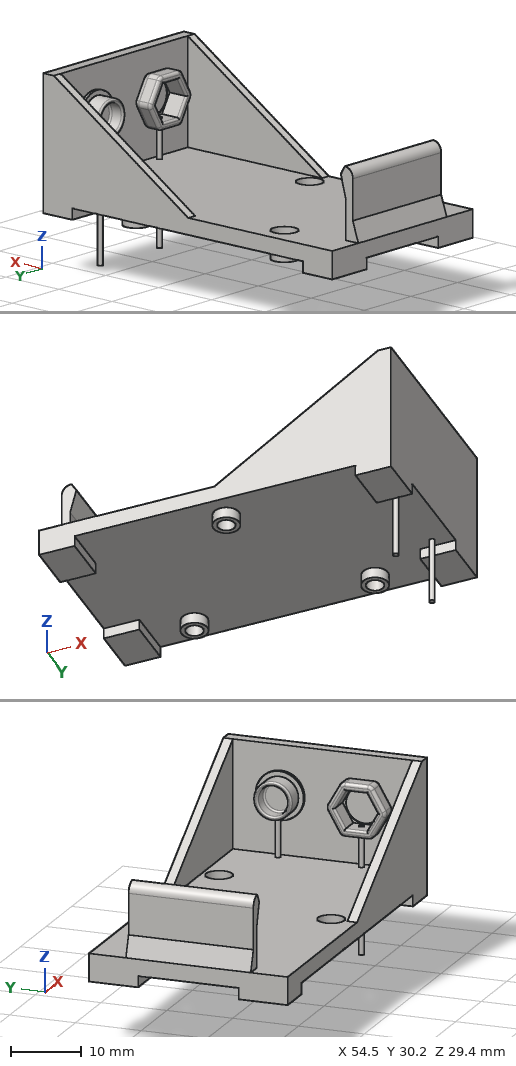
import cadquery as cq
import math


LENGTH = 54.5
WIDTH = 30.2
PLATE_THICKNESS = 2.5

FOOT_LENGTH = 5.5
FOOT_WIDTH = 7.45
FOOT_HEIGHT = 1.7

SCREW_POINTS = [(12.55, 26.15), (27.25, 4.0), (40.5, 26.15)]
SCREW_HOLE_DIAMETER = 2.6
BOSS_DIAMETER = 4.0
COUNTERBORE_DEPTH = 1.5

WALL_HEIGHT = 16.35
WALL_THICKNESS = 2.0
GUSSET_THICKNESS = 1.45
GUSSET_START = 27.15
WALL_FACE = LENGTH - WALL_THICKNESS

CLIP_Y = 5.6
CLIP_WIDTH = 18.95
CLIP_OUTER_X = 1.05
CLIP_INNER_X = 2.35
CLIP_TAPER_HEIGHT = 3.1
CLIP_BARB_START = 6.0
CLIP_BARB_TIP = (3.3, 9.6)
CLIP_ROUND_RADIUS = 1.5
CLIP_ROUND_START = 9.3

TERMINAL_HEIGHT = 3.25
TERMINAL_SPACING = 12.7
TERMINAL_Z = 8.9
HEX_Y = (WIDTH - TERMINAL_SPACING) / 2
ROUND_Y = (WIDTH + TERMINAL_SPACING) / 2

FLANGE_DIAMETER = 7.3
FLANGE_THICKNESS = 0.5
ROUND_DIAMETER = 5.8
ROUND_BORE_DIAMETER = 4.5
ROUND_RIM_FILLET = 0.25
ROUND_FLOOR_FILLET = 0.25
ROUND_FLOOR_THICKNESS = 1.0

HEX_ACROSS_FLATS = 8.0
HEX_BORE_ACROSS_FLATS = 5.65
HEX_CORNER_FILLET = 1.0
HEX_BACK_FILLET = 1.1
HEX_RIM_FILLET = 0.5
HEX_BORE_RIM_FILLET = 0.3
HEX_FLOOR_THICKNESS = 0.1
HEX_FLOOR_HOLE_DIAMETER = 5.5

PIN_DIAMETER = 0.8
PIN_X = 51.4
PIN_TOP = TERMINAL_Z - HEX_BORE_ACROSS_FLATS / 2
PIN_BELOW_FEET = 8.85
PIN_BOTTOM = -PLATE_THICKNESS - FOOT_HEIGHT - PIN_BELOW_FEET


def block(x, y, z, length, width, height):
    return cq.Workplane("XY").box(length, width, height, centered=False).translate((x, y, z))


def upright_cylinder(diameter, x, y, bottom, top):
    return cq.Workplane("XY", origin=(x, y, bottom)).circle(diameter / 2).extrude(top - bottom)


def make_clip():
    round_center_x = CLIP_OUTER_X + CLIP_ROUND_RADIUS
    half_way = CLIP_ROUND_RADIUS * math.sqrt(0.5)
    profile = (
        cq.Workplane("XZ", origin=(0, CLIP_Y + CLIP_WIDTH, 0))
        .moveTo(0, 0)
        .lineTo(CLIP_OUTER_X, CLIP_TAPER_HEIGHT)
        .lineTo(CLIP_OUTER_X, CLIP_ROUND_START)
        .threePointArc(
            (round_center_x - half_way, CLIP_ROUND_START + half_way),
            (round_center_x, CLIP_ROUND_START + CLIP_ROUND_RADIUS),
        )
        .lineTo(*CLIP_BARB_TIP)
        .lineTo(CLIP_INNER_X, CLIP_BARB_START)
        .lineTo(CLIP_INNER_X, 0)
        .close()
    )
    return profile.extrude(CLIP_WIDTH)


def make_gusset(y):
    profile = cq.Workplane("XZ", origin=(0, y + GUSSET_THICKNESS, 0)).polyline(
        [(GUSSET_START, 0), (WALL_FACE, 0), (WALL_FACE, WALL_HEIGHT)]
    )
    return profile.close().extrude(GUSSET_THICKNESS)


def make_base():
    foot_z = -PLATE_THICKNESS - FOOT_HEIGHT
    base = block(0, 0, -PLATE_THICKNESS, LENGTH, WIDTH, PLATE_THICKNESS)
    base = base.union(block(WALL_FACE, 0, 0, WALL_THICKNESS, WIDTH, WALL_HEIGHT))
    base = base.union(make_clip())
    for y in (0, WIDTH - GUSSET_THICKNESS):
        base = base.union(make_gusset(y))
    for x in (0, LENGTH - FOOT_LENGTH):
        for y in (0, WIDTH - FOOT_WIDTH):
            base = base.union(block(x, y, foot_z, FOOT_LENGTH, FOOT_WIDTH, FOOT_HEIGHT))
    for x, y in SCREW_POINTS:
        base = base.union(upright_cylinder(BOSS_DIAMETER, x, y, foot_z, -PLATE_THICKNESS))
    for x, y in SCREW_POINTS:
        base = base.cut(upright_cylinder(SCREW_HOLE_DIAMETER, x, y, foot_z, 0))
        base = base.cut(upright_cylinder(BOSS_DIAMETER, x, y, -COUNTERBORE_DEPTH, 0))
    for y in (HEX_Y, ROUND_Y):
        base = base.cut(upright_cylinder(PIN_DIAMETER, PIN_X, y, -PLATE_THICKNESS, 0))
    return base


def wall_plane(y):
    """Plane on the end wall at a terminal's axis, facing the clip."""
    return cq.Workplane(cq.Plane(origin=(WALL_FACE, y, TERMINAL_Z), xDir=(0, -1, 0), normal=(-1, 0, 0)))


def hexagon_prism(across_flats, y, bottom, top):
    across_corners = across_flats / math.cos(math.pi / 6)
    return wall_plane(y).workplane(offset=bottom).polygon(6, across_corners).extrude(top - bottom)


def make_round_terminal(pin):
    barrel = wall_plane(ROUND_Y).circle(ROUND_DIAMETER / 2).extrude(TERMINAL_HEIGHT)
    bore = wall_plane(ROUND_Y).workplane(offset=ROUND_FLOOR_THICKNESS)
    bore = bore.circle(ROUND_BORE_DIAMETER / 2).extrude(TERMINAL_HEIGHT - ROUND_FLOOR_THICKNESS)
    bore = bore.faces(">X").edges().fillet(ROUND_FLOOR_FILLET)
    barrel = barrel.cut(bore).faces("<X").edges().fillet(ROUND_RIM_FILLET)
    flange = wall_plane(ROUND_Y).circle(FLANGE_DIAMETER / 2).extrude(FLANGE_THICKNESS)
    return barrel.union(flange).cut(pin)


def make_hex_terminal(pin):
    snap = hexagon_prism(HEX_ACROSS_FLATS, HEX_Y, 0, TERMINAL_HEIGHT)
    snap = snap.edges("|X").fillet(HEX_CORNER_FILLET)
    snap = snap.faces(">X").edges().fillet(HEX_BACK_FILLET)
    snap = snap.faces("<X").edges().fillet(HEX_RIM_FILLET)
    snap = snap.cut(hexagon_prism(HEX_BORE_ACROSS_FLATS, HEX_Y, HEX_FLOOR_THICKNESS, TERMINAL_HEIGHT))
    bore_rim = snap.faces("<X").wires(cq.selectors.AreaNthSelector(0))
    snap = bore_rim.edges().fillet(HEX_BORE_RIM_FILLET)
    floor_hole = wall_plane(HEX_Y).circle(HEX_FLOOR_HOLE_DIAMETER / 2).extrude(HEX_FLOOR_THICKNESS)
    return snap.cut(floor_hole).cut(pin)


def make_pin(y):
    return upright_cylinder(PIN_DIAMETER, PIN_X, y, PIN_BOTTOM, PIN_TOP)


base = make_base()
pins = [make_pin(y) for y in (HEX_Y, ROUND_Y)]
hex_pin, round_pin = pins
hex_terminal = make_hex_terminal(hex_pin)
round_terminal = make_round_terminal(round_pin)

result = cq.Compound.makeCompound(
    [base.val(), hex_terminal.val(), round_terminal.val(), *[pin.val() for pin in pins]]
)